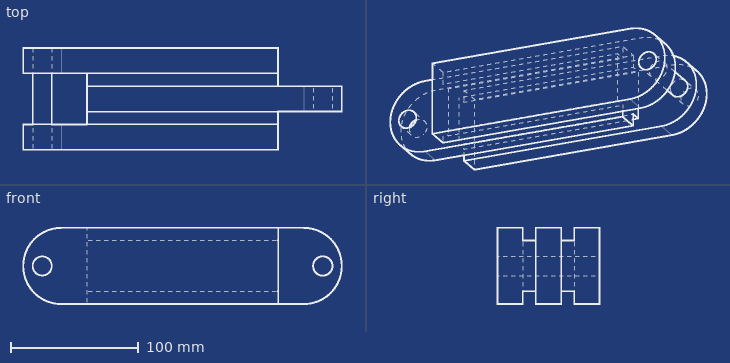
import cadquery as cq

total_length = 250.0
link_height = 60.0
plate_thickness = 20.0
outer_plate_length = 200.0
fork_gap = 40.0
tongue_start = 50.0
web_height = 40.0
pin_diameter = 15.0
pin_end_distance = 15.0

end_radius = link_height / 2
link_width = fork_gap + 2 * plate_thickness
outer_plate_offset = (fork_gap + plate_thickness) / 2
fork_pin_x = pin_end_distance
tongue_hole_x = total_length - pin_end_distance


def round_ended_plate(tip_x, square_x, center_y):
    """Upright plate with a full-round end at tip_x and a square end at square_x."""
    direction = 1 if square_x > tip_x else -1
    arc_start_x = tip_x + direction * end_radius
    return (
        cq.Workplane("XZ", origin=(0, center_y, 0))
        .moveTo(square_x, -end_radius)
        .lineTo(arc_start_x, -end_radius)
        .threePointArc((tip_x, 0), (arc_start_x, end_radius))
        .lineTo(square_x, end_radius)
        .close()
        .extrude(plate_thickness / 2, both=True)
    )


def cross_cylinder(center_x):
    """Cylinder of the pin diameter along Y across the full link width."""
    return (
        cq.Workplane("XZ", origin=(center_x, link_width / 2, 0))
        .circle(pin_diameter / 2)
        .extrude(link_width)
    )


def make_link():
    """Forked link: two outer plates, a central tongue and the web joining them."""
    web_length = outer_plate_length - tongue_start
    web = cq.Workplane("XY").box(web_length, fork_gap, web_height).translate(
        (tongue_start + web_length / 2, 0, 0)
    )
    link = web.union(round_ended_plate(total_length, tongue_start, 0))
    for side in (-1, 1):
        link = link.union(round_ended_plate(0, outer_plate_length, side * outer_plate_offset))
    for hole_x in (fork_pin_x, tongue_hole_x):
        link = link.cut(cross_cylinder(hole_x))
    return link


def make_pin():
    """Pin through the fork, flush with the outer faces of its plates."""
    return cross_cylinder(fork_pin_x)


link = make_link()
pin = make_pin()

result = cq.Compound.makeCompound([link.solids().val(), pin.val()])